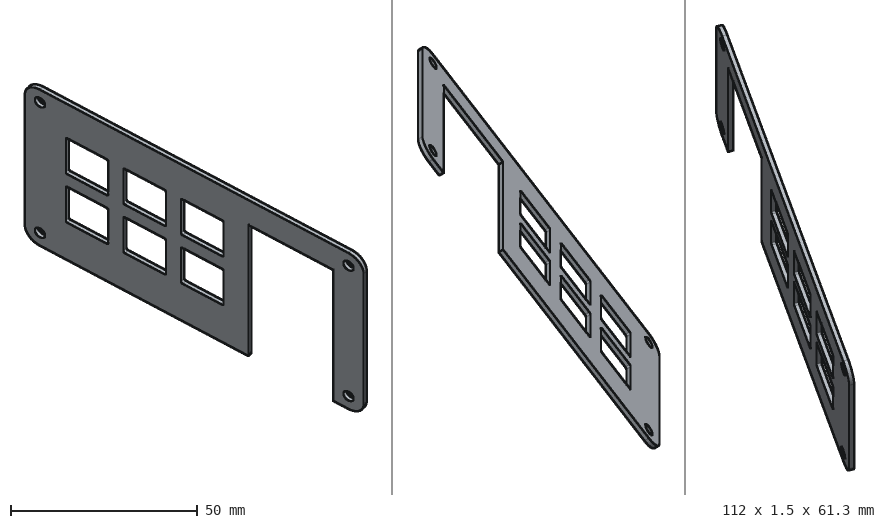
import cadquery as cq

plate_length = 112.0
plate_height = 61.3
plate_thickness = 1.5
corner_radius = 5.0

mount_hole_diameter = 3.4
mount_hole_inset = corner_radius

switch_columns = 3
switch_rows = 2
switch_opening = 14.0
switch_corner_radius = 0.5
switch_pitch = 19.0
first_switch_x = 20.6
first_switch_z = 21.7

notch_left = 73.9
notch_width = 28.0
notch_top_margin = 9.9
notch_height = plate_height - notch_top_margin


def upright_box(length, height, x, z):
    """Box through the plate thickness, with its lower left corner at (x, z)."""
    box = cq.Workplane("XY").box(length, plate_thickness, height, centered=False)
    return box.translate((x, 0, z))


def make_plate():
    plate = upright_box(plate_length, plate_height, 0, 0)
    return plate.edges("|Y").fillet(corner_radius)


def mounting_holes():
    x_positions = (mount_hole_inset, plate_length - mount_hole_inset)
    z_positions = (mount_hole_inset, plate_height - mount_hole_inset)
    centers = [(x, z) for x in x_positions for z in z_positions]
    sketch = cq.Workplane("XZ").pushPoints(centers).circle(mount_hole_diameter / 2)
    return sketch.extrude(-plate_thickness)


def switch_cutter(column, row):
    x = first_switch_x + column * switch_pitch - switch_opening / 2
    z = first_switch_z + row * switch_pitch - switch_opening / 2
    cutter = upright_box(switch_opening, switch_opening, x, z)
    return cutter.edges("|Y").fillet(switch_corner_radius)


result = make_plate().cut(mounting_holes())
for column in range(switch_columns):
    for row in range(switch_rows):
        result = result.cut(switch_cutter(column, row))
result = result.cut(upright_box(notch_width, notch_height, notch_left, 0))